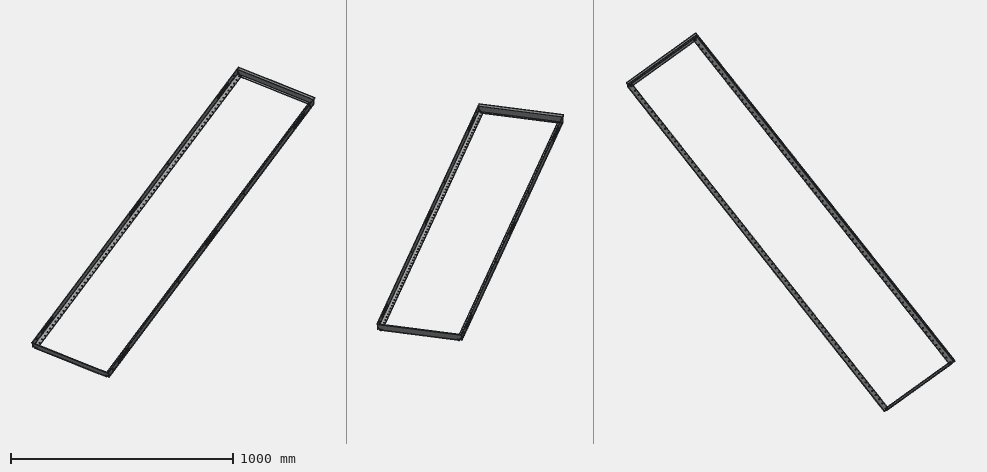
import cadquery as cq
import math

FRAME_LENGTH = 1940.0
FRAME_WIDTH = 392.0
SHEET = 1.5
LIP_REACH = 8.0
LIP_ANGLE = 45.0

SIDE_TOP_DROP = 1.0
SIDE_FLANGE = 23.0
FLANGE_SETBACK = 3.0

PERFORATION_COUNT = 75
PERFORATION_SPAN = 1849.0
PERFORATION_DIAMETER = 4.0
FIXING_COUNT = 4
FIXING_DIAMETER = 7.0
FIXING_HEIGHT = 21.0

WINDOW_COUNT = 3
WINDOW_SPAN = 1650.0
WINDOW_LENGTH = 100.0
WINDOW_WIDTH = 14.0
WINDOW_MIDDLE = 17.0

LOW_SLOT_FROM_CENTRE = 908.0
LOW_SLOT_LENGTH = 25.0
LOW_SLOT_WIDTH = 4.0

END_TOP = 37.0
END_FLANGE = 12.0
END_FLANGE_LENGTH = 369.0
CORNER_CUT_HEIGHT = 20.0

PIN_DIAMETER = 4.0
PIN_DROP = 5.0
PIN_FROM_SIDE = 15.0
PIN_FROM_END = 15.0

half_length = FRAME_LENGTH / 2
half_width = FRAME_WIDTH / 2
side_top = END_TOP - SIDE_TOP_DROP
web_outside = half_length - LIP_REACH
web_inside = web_outside - SHEET
flanges_top = 2 * SHEET
end_flange_half = END_FLANGE_LENGTH / 2
pin_x = half_width - PIN_FROM_SIDE
pin_y = half_length - PIN_FROM_END


def box(x_range, y_range, z_range):
    """Box between the given limits along each axis."""
    (x0, x1), (y0, y1), (z0, z1) = x_range, y_range, z_range
    return cq.Workplane("XY").box(x1 - x0, y1 - y0, z1 - z0, centered=False).translate((x0, y0, z0))


def spread(count, span):
    """Even positions from -span/2 to +span/2."""
    return [span * (i / (count - 1) - 0.5) for i in range(count)]


def pin_hole(x, y):
    """Cutter for the hole that takes a pin."""
    return cq.Workplane("XY").center(x, y).circle(PIN_DIAMETER / 2).extrude(flanges_top)


def make_side_rail():
    """Side rail on the +X side."""
    flange_end = web_inside - FLANGE_SETBACK
    web = box((half_width - SHEET, half_width), (-web_inside, web_inside), (SHEET, side_top))
    flange = box((half_width - SIDE_FLANGE, half_width), (-flange_end, flange_end), (SHEET, flanges_top))
    rail = web.union(flange)

    rows = [(pin_x, y) for y in spread(PERFORATION_COUNT, PERFORATION_SPAN)]
    flange_plane = cq.Workplane("XY", origin=(0, 0, SHEET))
    rail = rail.cut(flange_plane.pushPoints(rows).circle(PERFORATION_DIAMETER / 2).extrude(SHEET))

    web_plane = cq.Workplane("YZ", origin=(half_width - SHEET, 0, 0))
    fixings = [(y, FIXING_HEIGHT) for y in spread(FIXING_COUNT, PERFORATION_SPAN)]
    rail = rail.cut(web_plane.pushPoints(fixings).circle(FIXING_DIAMETER / 2).extrude(SHEET))
    windows = [(y, WINDOW_MIDDLE) for y in spread(WINDOW_COUNT, WINDOW_SPAN)]
    rail = rail.cut(web_plane.pushPoints(windows).rect(WINDOW_LENGTH, WINDOW_WIDTH).extrude(SHEET))
    low_z = flanges_top + LOW_SLOT_WIDTH / 2
    low_slots = [(-LOW_SLOT_FROM_CENTRE, low_z), (LOW_SLOT_FROM_CENTRE, low_z)]
    rail = rail.cut(web_plane.pushPoints(low_slots).rect(LOW_SLOT_LENGTH, LOW_SLOT_WIDTH).extrude(SHEET))

    for y in (-pin_y, pin_y):
        rail = rail.cut(pin_hole(pin_x, y))
    return rail


def make_end_rail():
    """End rail at the +Y end: web, sloping lip and shorter bottom flange."""
    slope = math.radians(LIP_ANGLE)
    tip_low = END_TOP - SHEET * math.cos(slope)
    bend_outside = tip_low - LIP_REACH * math.tan(slope)
    bend_inside = bend_outside + SHEET * math.tan(slope / 2)
    section = [
        (web_outside, 0),
        (web_outside, bend_outside),
        (half_length, tip_low),
        (half_length - SHEET * math.sin(slope), END_TOP),
        (web_inside, bend_inside),
        (web_inside, 0),
    ]
    rail = cq.Workplane("YZ").polyline(section).close().extrude(half_width, both=True)

    for side in (-1, 1):
        corner = [
            (side * half_width, 0),
            (side * end_flange_half, 0),
            (side * half_width, CORNER_CUT_HEIGHT),
        ]
        web_plane = cq.Workplane("XZ", origin=(0, web_outside, 0))
        rail = rail.cut(web_plane.polyline(corner).close().extrude(SHEET))

    flange = box(
        (-end_flange_half, end_flange_half),
        (web_outside - END_FLANGE, web_outside),
        (0, SHEET),
    )
    rail = rail.union(flange)
    for x in (-pin_x, pin_x):
        rail = rail.cut(pin_hole(x, pin_y))
    return rail


def make_pin(x, y):
    """Pin through both flanges at one corner, standing down below the frame."""
    pin = cq.Workplane("XY", origin=(x, y, -PIN_DROP))
    return pin.circle(PIN_DIAMETER / 2).extrude(PIN_DROP + flanges_top)


right_rail = make_side_rail()
left_rail = right_rail.rotate((0, 0, 0), (0, 0, 1), 180)
back_rail = make_end_rail()
front_rail = back_rail.rotate((0, 0, 0), (0, 0, 1), 180)
side_rails = [right_rail, left_rail]
end_rails = [back_rail, front_rail]
pins = [make_pin(x, y) for x in (-pin_x, pin_x) for y in (-pin_y, pin_y)]

result = cq.Compound.makeCompound([body.val() for body in side_rails + end_rails + pins])